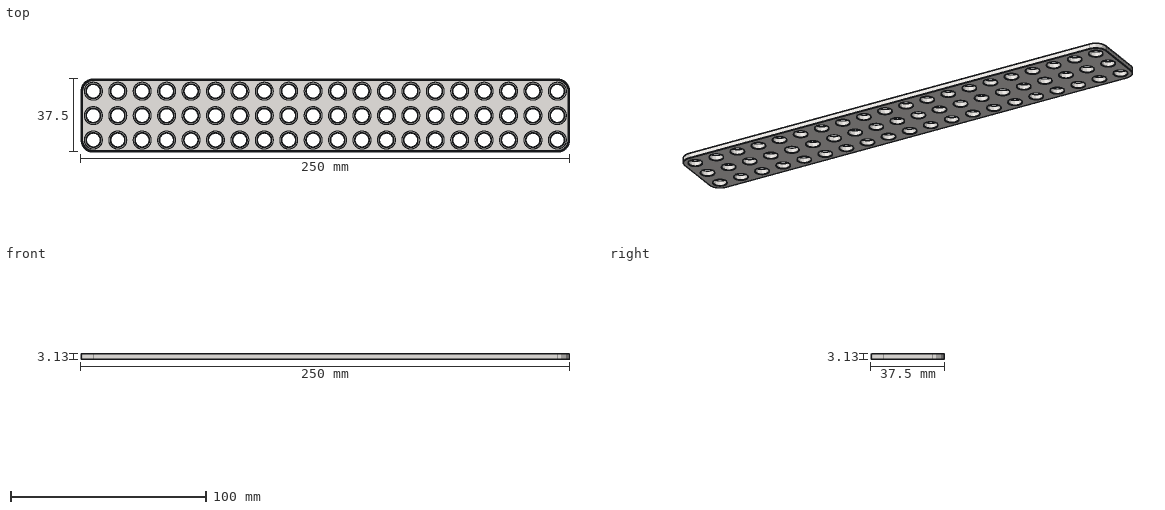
import cadquery as cq

pitch = 12.5
columns = 20
rows = 3
length = columns * pitch
width = rows * pitch
thickness = pitch / 4
corner_radius = pitch / 2

hole_diameter = 7.0
edge_chamfer = 0.3

recess_depth = 0.2
land_width = 0.8
rim_land_width = land_width
hole_land_diameter = hole_diameter + 2 * (edge_chamfer + land_width)


def drilled_plate():
    """Rounded plate with all its holes, chamfered on both faces."""
    plate = cq.Workplane("XY").box(length, width, thickness)
    plate = plate.edges("|Z").fillet(corner_radius)
    plate = (
        plate.faces(">Z")
        .workplane()
        .rarray(pitch, pitch, columns, rows)
        .hole(hole_diameter)
    )
    return plate.faces("<Z or >Z").edges().chamfer(edge_chamfer)


def top_recess():
    """Thin layer below the top face, without the lands around the holes."""
    floor_height = thickness / 2 - recess_depth
    layer = (
        cq.Workplane("XY", origin=(0, 0, floor_height))
        .rect(length - 2 * rim_land_width, width - 2 * rim_land_width)
        .extrude(recess_depth)
        .edges("|Z")
        .fillet(corner_radius - rim_land_width)
    )
    hole_lands = (
        cq.Workplane("XY", origin=(0, 0, floor_height))
        .rarray(pitch, pitch, columns, rows)
        .circle(hole_land_diameter / 2)
        .extrude(recess_depth)
    )
    return layer.cut(hole_lands)


result = drilled_plate().cut(top_recess())